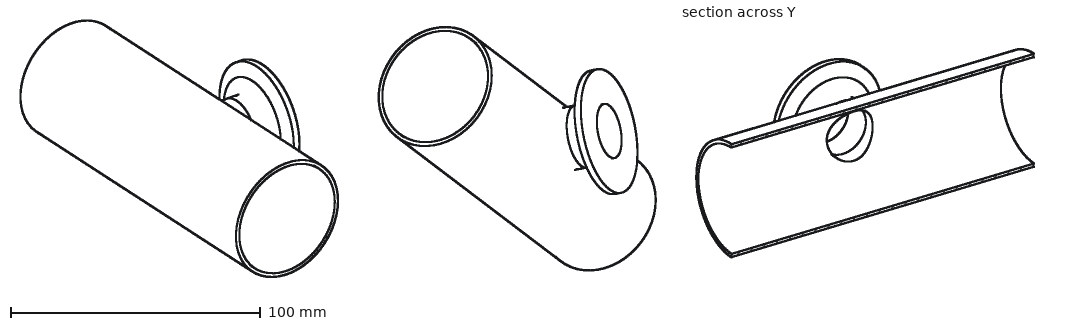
import cadquery as cq
import math

tube_length = 146.0
tube_diameter = 50.8
wall = 1.65
tube_radius = tube_diameter / 2

branch_diameter = 25.4
branch_radius = branch_diameter / 2
bore_radius = branch_radius - wall
stub_height = 3.2
root_fillet = 1.0
joint_y = tube_radius + stub_height

ferrule_length = 12.7
flange_diameter = 50.5
flange_radius = flange_diameter / 2
rim_thickness = 2.85
flange_thickness = 5.0
flange_angle = 20.0
neck_fillet = 1.6
ferrule_end_y = joint_y + ferrule_length


def cylinder_along_x(radius):
    return cq.Workplane("YZ").circle(radius).extrude(tube_length / 2, both=True)


def cylinder_along_y(radius, end_y):
    """Cylinder from the run's axis out to end_y."""
    return cq.Workplane("XZ").circle(radius).extrude(-end_y)


def make_tee():
    """Run tube with a short filleted branch stub, both bored through."""
    outside = cylinder_along_x(tube_radius).union(cylinder_along_y(branch_radius, joint_y))
    root_zone = cq.selectors.BoxSelector(
        (-branch_radius, 0, -branch_radius),
        (branch_radius, tube_radius, branch_radius),
    )
    outside = outside.edges(root_zone).fillet(root_fillet)
    run_bore = cylinder_along_x(tube_radius - wall)
    branch_bore = cylinder_along_y(bore_radius, joint_y)
    return outside.cut(run_bore).cut(branch_bore)


def make_ferrule():
    """Clamp flange with a conical back, blended into its neck."""
    cone_depth = flange_thickness - rim_thickness
    cone_end_radius = flange_radius - cone_depth / math.tan(math.radians(flange_angle))
    back_y = ferrule_end_y - flange_thickness
    fillet_x = branch_radius + neck_fillet
    fillet_y = back_y - neck_fillet
    fillet_offset = neck_fillet * math.cos(math.radians(45))
    fillet_middle = (fillet_x - fillet_offset, fillet_y + fillet_offset)
    return (
        cq.Workplane("XY")
        .moveTo(bore_radius, joint_y)
        .lineTo(branch_radius, joint_y)
        .lineTo(branch_radius, fillet_y)
        .threePointArc(fillet_middle, (fillet_x, back_y))
        .lineTo(cone_end_radius, back_y)
        .lineTo(flange_radius, ferrule_end_y - rim_thickness)
        .lineTo(flange_radius, ferrule_end_y)
        .lineTo(bore_radius, ferrule_end_y)
        .close()
        .revolve(360, (0, 0, 0), (0, 1, 0))
    )


tee = make_tee()
ferrule = make_ferrule()

result = cq.Compound.makeCompound([tee.val(), ferrule.val()])